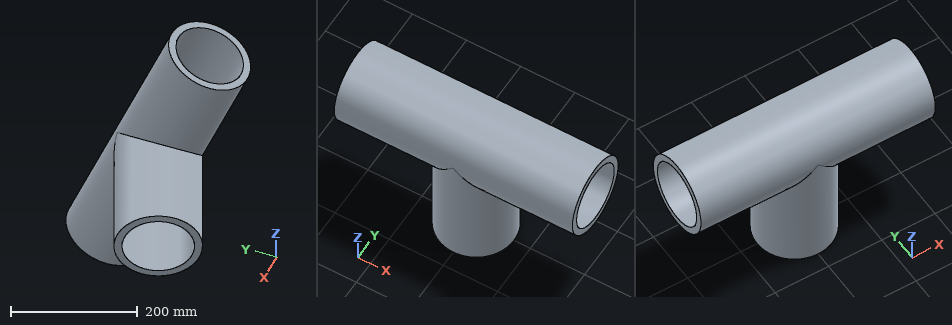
import cadquery as cq

run_length = 440.0
outer_diameter = 140.0
bore_diameter = 114.5
overall_height = 290.0

branch_length = overall_height - outer_diameter / 2


def tee(diameter):
    """Solid run and branch cylinders of one diameter, meeting on their axes."""
    run = cq.Workplane("YZ").circle(diameter / 2).extrude(run_length / 2, both=True)
    branch = cq.Workplane("XY").circle(diameter / 2).extrude(-branch_length)
    return run.union(branch)


result = tee(outer_diameter).cut(tee(bore_diameter))